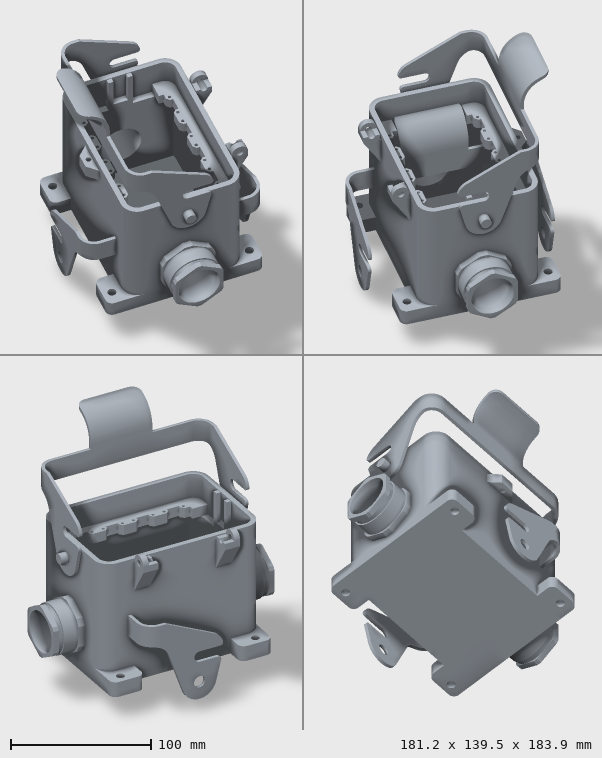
import cadquery as cq
import math


body_x = 131.5
body_y = 90.5
body_corner = 12.5
wall = 4.0
floor = 4.0
body_height = 100.0
seal_height = 5.7
seam_z = body_height - seal_height
cavity_x = body_x / 2 - wall
cavity_y = body_y / 2 - wall
cavity_corner = body_corner - wall
root_x = body_x / 2 - wall / 2
root_y = body_y / 2 - wall / 2
root_corner = body_corner - wall / 2

foot_length = 26.3
foot_span = 120.4
foot_height = 12.1
foot_corner = 5.1
foot_hole = 6.5
foot_hole_x = 55.3
foot_hole_y = 53.0

rail_top = 80.5
rail_thickness = 8.0
rail_bottom = rail_top - rail_thickness
rail_edge_y = 30.0
rail_step_x = 49.0
rail_step_y = 26.3
notch_pitch = 25.0
notch_count = 4
notch_xs = [(index - (notch_count - 1) / 2) * notch_pitch for index in range(notch_count)]
notch_width = 10.0
notch_depth_y = 34.5
notch_chamfer = 2.4
rail_hole = 2.4
rail_hole_y = 32.9
rail_hole_offset = 7.9

end_thickening = 5.0
end_face_x = cavity_x - end_thickening
catch_seat_z = 77.2
catch_width = 18.7
prong_width = 3.9
prong_gap = 1.5
prong_top = 101.0

boss_width = 26.3
boss_reach = 7.5
boss_height = 10.0
boss_hole = 4.0
boss_hole_offset = 3.0

lug_outer_x = 39.7
lug_disc_width = 4.6
lug_width = 12.3
lug_radius = 6.2
lug_hole = 5.1
lug_y = 52.2
lug_z = 99.5
lug_root_z = 73.1

pivot_z = 87.3
pivot_diameter = 8.0
pivot_reach = 75.7

gland_z = 32.0
gland_bore = 32.0
nut_flats = 40.6
nut_corners = 43.4
nut_end_x = 71.0
barrel_diameter = 39.3
barrel_end_x = 82.3
neck_diameter = 37.0
neck_end_x = 86.2
cap_flats = 37.3
cap_corners = 41.2
cap_end_x = 90.6

lever_thickness = 2.5
lever_half_width = 69.75
lever_bar_y = 44.7
lever_bend = 12.5
lever_hole = 9.0
lever_end_radius = 14.0
bar_bottom = 38.0
bar_top = 54.8
bar_fillet = 14.7
heel = (28.5, bar_bottom)
shoulder = (27.5, bar_top)
brow = (-12.9, 35.7)
nose = (-19.3, 27.8)
nose_arc_radius = 12.0
slot_bottom = 16.4
slot_top = 24.8
upper_jaw_fillet = 2.2
lower_jaw = (-18.5, slot_bottom)
lower_jaw_fillet = 2.5
tab_width = 50.4
tab_straight = 4.8
tab_outer_radius = 23.0
tab_inner_radius = 20.2
tab_corner = 7.5


def rounded_block(size_x, size_y, height, corner, base_z):
    """Upright block, centred on the Z axis, with rounded vertical edges."""
    block = cq.Workplane("XY").workplane(offset=base_z).rect(size_x, size_y).extrude(height)
    return block.edges("|Z").fillet(corner)


def shell_ring(height, base_z):
    """Tube with the housing's outer and inner outlines."""
    outer = rounded_block(body_x, body_y, height, body_corner, base_z)
    inner = rounded_block(2 * cavity_x, 2 * cavity_y, height, cavity_corner, base_z)
    return outer.cut(inner)


def mounting_feet():
    """One bar across each end of the housing, ending in two feet."""
    feet = cq.Workplane("XY")
    for side in (-1, 1):
        centre_x = side * (body_x - foot_length) / 2
        foot = rounded_block(foot_length, foot_span, foot_height, foot_corner, 0)
        feet = feet.union(foot.translate((centre_x, 0, 0)))
    return feet


def foot_holes():
    points = [(x, y) for x in (-foot_hole_x, foot_hole_x) for y in (-foot_hole_y, foot_hole_y)]
    return cq.Workplane("XY").pushPoints(points).circle(foot_hole / 2).extrude(foot_height)


def rail_opening():
    """Stepped and notched opening between the two contact rails."""
    opening = cq.Workplane("XY").rect(body_x, 2 * rail_step_y).extrude(rail_thickness)
    opening = opening.union(cq.Workplane("XY").rect(2 * rail_step_x, 2 * rail_edge_y).extrude(rail_thickness))
    mouth = notch_width / 2 + notch_chamfer
    for x in notch_xs:
        side = [
            (mouth, rail_edge_y),
            (notch_width / 2, rail_edge_y + notch_chamfer),
            (notch_width / 2, notch_depth_y),
            (-notch_width / 2, notch_depth_y),
            (-notch_width / 2, rail_edge_y + notch_chamfer),
            (-mouth, rail_edge_y),
        ]
        outline = side + [(-px, -py) for px, py in side]
        notch = cq.Workplane("XY").polyline(outline).close().extrude(rail_thickness)
        opening = opening.union(notch.translate((x, 0, 0)))
    return opening.translate((0, 0, rail_bottom))


def contact_rails():
    rails = rounded_block(2 * root_x, 2 * root_y, rail_thickness, root_corner, rail_bottom)
    rails = rails.cut(rail_opening())
    points = [
        (x + dx, y)
        for x in notch_xs
        for dx in (-rail_hole_offset, rail_hole_offset)
        for y in (-rail_hole_y, rail_hole_y)
    ]
    holes = cq.Workplane("XY").workplane(offset=rail_bottom).pushPoints(points)
    return rails.cut(holes.circle(rail_hole / 2).extrude(rail_thickness))


def block(x0, x1, y0, y1, z0, z1):
    """Plain box between two corners."""
    return cq.Workplane("XY").box(x1 - x0, y1 - y0, z1 - z0, centered=False).translate((x0, y0, z0))


def end_walls():
    """Inner thickening of both end walls, up to the underside of the rails."""
    walls = rounded_block(2 * root_x, 2 * root_y, rail_bottom, root_corner, 0)
    return walls.cut(block(-end_face_x, end_face_x, -body_y, body_y, 0, rail_bottom))


def catch():
    """Pad on the -X end wall carrying two prongs that stand clear of the rim."""
    half = catch_width / 2
    pad = block(-root_x, -end_face_x, -half, half, rail_bottom, catch_seat_z)
    for y in (-half, half - prong_width):
        prong = block(prong_gap - cavity_x, -end_face_x, y, y + prong_width, rail_bottom, prong_top)
        pad = pad.union(prong)
    return pad


def front_boss():
    face_y = -body_y / 2
    half = boss_width / 2
    outline = [
        (-half, -root_y),
        (-half, face_y),
        (-half + boss_reach, face_y - boss_reach),
        (half - boss_reach, face_y - boss_reach),
        (half, face_y),
        (half, -root_y),
    ]
    boss = cq.Workplane("XY").polyline(outline).close().extrude(boss_height)
    hole = cq.Workplane("XY").center(0, face_y - boss_hole_offset).circle(boss_hole / 2).extrude(boss_height)
    return boss.cut(hole).translate((0, 0, seam_z - boss_height))


def hinge_lug():
    """Lug at the -X end of the rear wall: a pierced disc beside a half-height cradle."""
    outline = (
        cq.Workplane("YZ")
        .moveTo(root_y, lug_root_z)
        .lineTo(body_y / 2, lug_root_z)
        .lineTo(lug_y + lug_radius, seam_z)
        .lineTo(lug_y + lug_radius, lug_z)
        .threePointArc((lug_y, lug_z + lug_radius), (lug_y - lug_radius, lug_z))
        .lineTo(lug_y - lug_radius, seam_z)
        .lineTo(root_y, seam_z)
        .close()
    )
    lug = outline.extrude(lug_width)
    lug = lug.cut(cq.Workplane("YZ").center(lug_y, lug_z).circle(lug_hole / 2).extrude(lug_width))
    above = block(
        lug_disc_width, lug_width, lug_y - lug_radius, lug_y + lug_radius, lug_z, lug_z + lug_radius
    )
    return lug.cut(above).translate((-lug_outer_x, 0, 0))


def cylinder_x(diameter, x0, x1, z):
    """Cylinder along X."""
    return cq.Workplane("YZ").workplane(offset=x0).center(0, z).circle(diameter / 2).extrude(x1 - x0)


def hex_collar(flats, corners, x0, x1):
    """Hexagon along X with a vertex on top and its corners cut flat."""
    to_corner = 2 / math.sqrt(3)
    plane = cq.Workplane("YZ").workplane(offset=x0).center(0, gland_z)
    hexagon = plane.transformed(rotate=(0, 0, 30)).polygon(6, flats * to_corner).extrude(x1 - x0)
    trim = plane.polygon(6, corners * to_corner).extrude(x1 - x0)
    return hexagon.intersect(trim)


def cable_gland():
    """Gland on the +X wall."""
    gland = hex_collar(nut_flats, nut_corners, root_x, nut_end_x)
    gland = gland.union(cylinder_x(barrel_diameter, nut_end_x, barrel_end_x, gland_z))
    gland = gland.union(cylinder_x(neck_diameter, barrel_end_x, neck_end_x, gland_z))
    return gland.union(hex_collar(cap_flats, cap_corners, neck_end_x, cap_end_x))


def lever_cheek():
    """Side outline of the lever, with its bar towards +Y, spread over its whole width along X."""

    def tangent_point(point, side):
        """Where the line from a point touches the round end; side +1 or -1 picks the tangent."""
        reach = math.hypot(*point)
        angle = math.atan2(point[1], point[0]) + side * math.acos(lever_end_radius / reach)
        return (lever_end_radius * math.cos(angle), lever_end_radius * math.sin(angle))

    slot_radius = (slot_top - slot_bottom) / 2
    outline = (
        cq.Workplane("YZ")
        .moveTo(*tangent_point(heel, -1))
        .lineTo(*heel)
        .lineTo(lever_bar_y, bar_bottom)
        .lineTo(lever_bar_y, bar_top)
        .lineTo(*shoulder)
        .lineTo(*brow)
        .radiusArc(nose, -nose_arc_radius)
        .lineTo(nose[0], slot_top)
        .lineTo(0, slot_top)
        .threePointArc((slot_radius, (slot_top + slot_bottom) / 2), (0, slot_bottom))
        .lineTo(*lower_jaw)
        .lineTo(*tangent_point(lower_jaw, 1))
        .threePointArc((0, -lever_end_radius), tangent_point(heel, -1))
        .close()
    )
    cheek = outline.extrude(lever_half_width, both=True)
    for corner, radius in (
        (heel, bar_fillet),
        ((nose[0], slot_top), upper_jaw_fillet),
        (lower_jaw, lower_jaw_fillet),
    ):
        edge = cq.selectors.NearestToPointSelector((0, *corner))
        cheek = cheek.edges("|X").edges(edge).fillet(radius)
    hole = cylinder_x(lever_hole, -lever_half_width, lever_half_width, 0)
    return cheek.cut(hole)


def lever_strap():
    """U-shaped strap seen from above: two arms and the cross bar, bar towards +Y."""
    depth = 2 * lever_bar_y

    def u_block(half_width, front, corner):
        outline = cq.Workplane("XY").workplane(offset=-depth)
        outline = outline.center(0, front - depth / 2).rect(2 * half_width, depth).extrude(2 * depth)
        return outline.edges("|Z and >Y").fillet(corner)

    outer = u_block(lever_half_width, lever_bar_y, lever_bend)
    inner = u_block(
        lever_half_width - lever_thickness, lever_bar_y - lever_thickness, lever_bend - lever_thickness
    )
    return outer.cut(inner)


def finger_tab():
    """Tab rising from the cross bar and curling outwards."""
    back = lever_bar_y - lever_thickness
    curl_z = bar_top + tab_straight
    tip_y = lever_bar_y + tab_inner_radius
    bend = math.sqrt(0.5)
    tab = (
        cq.Workplane("YZ")
        .moveTo(back, bar_bottom)
        .lineTo(lever_bar_y, bar_bottom)
        .lineTo(lever_bar_y, curl_z)
        .threePointArc(
            (tip_y - tab_inner_radius * bend, curl_z + tab_inner_radius * bend),
            (tip_y, curl_z + tab_inner_radius),
        )
        .lineTo(tip_y, curl_z + tab_outer_radius)
        .threePointArc(
            (tip_y - tab_outer_radius * bend, curl_z + tab_outer_radius * bend),
            (back, curl_z),
        )
        .close()
        .extrude(tab_width / 2, both=True)
    )
    return tab.edges("|Z and >Y").fillet(tab_corner)


def locking_lever(turn, height):
    """Lever with its cross bar turned from +Y about Z, its pivot axis at the given height."""
    lever = lever_strap().intersect(lever_cheek()).union(finger_tab())
    return lever.rotate((0, 0, 0), (0, 0, 1), turn).translate((0, 0, height))


def housing_body(passing_lever):
    """Housing with all its fittings, slotted where the loose lever passes through its walls."""
    body = rounded_block(body_x, body_y, floor, body_corner, 0)
    body = body.union(shell_ring(seam_z, 0))
    hollow = rounded_block(2 * cavity_x, 2 * cavity_y, body_height, cavity_corner, floor)
    body = body.union(mounting_feet()).cut(hollow)
    body = body.cut(foot_holes())
    body = body.union(contact_rails()).union(end_walls()).union(catch()).union(front_boss())
    body = body.union(hinge_lug()).union(hinge_lug().mirror("YZ"))
    pivot = cylinder_x(pivot_diameter, root_x, pivot_reach, pivot_z)
    body = body.union(pivot).union(pivot.mirror("YZ"))
    body = body.union(cable_gland()).union(cable_gland().mirror("YZ"))
    body = body.cut(cylinder_x(gland_bore, -cap_end_x, cap_end_x, gland_z))
    return body.cut(passing_lever)


fitted_lever = locking_lever(180, pivot_z)
loose_lever = locking_lever(-90, 0)
housing = housing_body(loose_lever)
seal = shell_ring(seal_height, seam_z)

result = cq.Compound.makeCompound([housing.val(), seal.val(), fitted_lever.val(), loose_lever.val()])